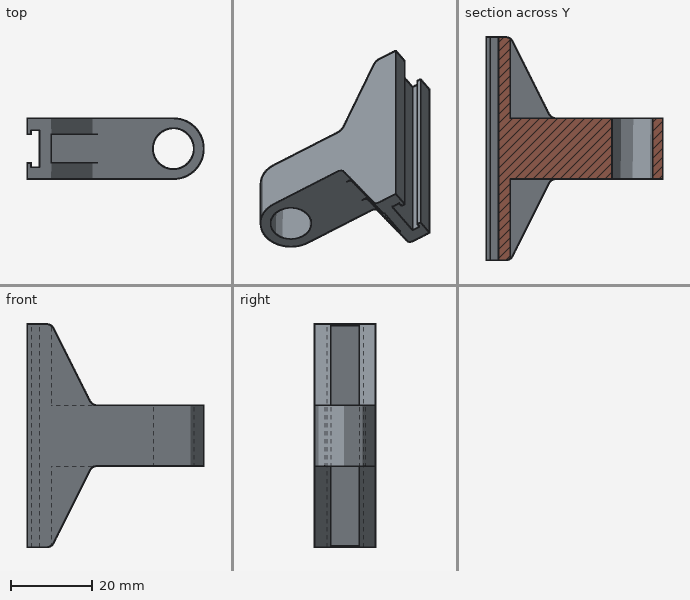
import cadquery as cq

height = 55.0
length = 43.5
width = 15.0

arm_height = width
plate_thickness = 6.0
gusset_end = 16.0
corner_radius = 2.0

relief_width = 7.0

slot_opening = relief_width
slot_inner_width = 9.0
slot_depth = 3.0
lip_thickness = 1.0

eye_radius = width / 2
eye_x = length - eye_radius
bore_diameter = 10.0


def box(x_start, x_end, y_size, z_start, z_end):
    """Box between two X and two Z positions, centred on Y = 0."""
    return (
        cq.Workplane("XY", origin=(0, 0, z_start))
        .center((x_start + x_end) / 2, 0)
        .rect(x_end - x_start, y_size)
        .extrude(z_end - z_start)
    )


def make_body():
    """Back plate tapering into the arm, with all four slope corners rounded, and a round arm end."""
    top = height / 2
    arm_top = arm_height / 2
    profile = (
        cq.Workplane("XZ")
        .moveTo(0, -top)
        .lineTo(plate_thickness, -top)
        .lineTo(gusset_end, -arm_top)
        .lineTo(eye_x, -arm_top)
        .lineTo(eye_x, arm_top)
        .lineTo(gusset_end, arm_top)
        .lineTo(plate_thickness, top)
        .lineTo(0, top)
        .close()
        .extrude(width / 2, both=True)
    )
    slope_corners = cq.selectors.BoxSelector(
        (plate_thickness / 2, -width, -height),
        ((gusset_end + eye_x) / 2, width, height),
    )
    body = profile.edges("|Y").edges(slope_corners).fillet(corner_radius)
    rounded_end = (
        cq.Workplane("XY")
        .center(eye_x, 0)
        .circle(eye_radius)
        .extrude(arm_top, both=True)
    )
    return body.union(rounded_end)


def cut_slot(body):
    """Cut the T-slot along the full height of the back plate."""
    opening = box(0, lip_thickness, slot_opening, -height / 2, height / 2)
    cavity = box(lip_thickness, slot_depth, slot_inner_width, -height / 2, height / 2)
    return body.cut(opening).cut(cavity)


def cut_reliefs(body):
    """Remove the middle of both gussets, down to the plate and the arm."""
    for z_start, z_end in ((arm_height / 2, height / 2), (-height / 2, -arm_height / 2)):
        body = body.cut(box(plate_thickness, eye_x, relief_width, z_start, z_end))
    return body


def cut_bore(body):
    """Bore the eye through the arm, concentric with its rounded end."""
    bore = (
        cq.Workplane("XY")
        .center(eye_x, 0)
        .circle(bore_diameter / 2)
        .extrude(arm_height, both=True)
    )
    return body.cut(bore)


result = cut_bore(cut_reliefs(cut_slot(make_body())))